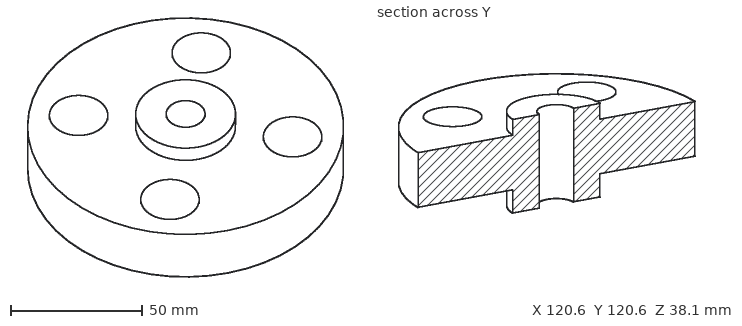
import cadquery as cq

flange_diameter = 120.6
flange_thickness = 22.3

hub_diameter = 38.1
top_hub_height = 6.4
bottom_hub_height = 9.4
bore_diameter = 14.8

bolt_hole_count = 4
bolt_hole_diameter = 22.3
bolt_circle_diameter = 82.5
first_bolt_angle = 45.0

hub_length = bottom_hub_height + flange_thickness + top_hub_height

flange = cq.Workplane("XY").circle(flange_diameter / 2).extrude(flange_thickness)

hub_base = cq.Workplane("XY").workplane(offset=-bottom_hub_height)
hub = hub_base.circle(hub_diameter / 2).extrude(hub_length)
bore = hub_base.circle(bore_diameter / 2).extrude(hub_length)

bolt_holes = (
    cq.Workplane("XY")
    .polarArray(bolt_circle_diameter / 2, first_bolt_angle, 360, bolt_hole_count)
    .circle(bolt_hole_diameter / 2)
    .extrude(flange_thickness)
)

result = flange.union(hub).cut(bore).cut(bolt_holes)